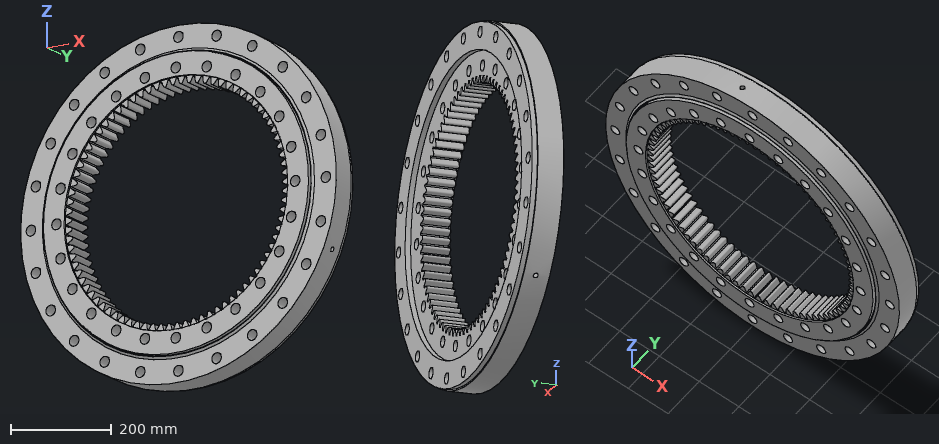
import cadquery as cq
import math


OUTER_RADIUS = 370.0
OUTER_RING_HEIGHT = 66.5
BACK_STEP_RADIUS = 367.0
BACK_STEP_HEIGHT = 11.0

RACE_RADIUS = 311.0
FRONT_FACE = 76.0
RECESS_RADIUS = 262.0
RECESS_DEPTH = 4.5
INNER_RING_SETBACK = 12.0

TOOTH_COUNT = 83
TIP_RADIUS = 246.5
BLANK_ALLOWANCE = 7.5
ROOT_RADIUS = 260.0
SHOULDER_RADIUS = 249.0
SHOULDER_SPACE_SHARE = 0.62
ROOT_SPACE_SHARE = 0.16

SEAL_BASE_RADIUS = 319.0
SEAL_FRONT_RADIUS = 314.0
SEAL_BORE_RADIUS = 313.0
SEAL_HEIGHT = 4.0

BOLT_COUNT = 24
BOLT_DIAMETER = 22.0
OUTER_BOLT_CIRCLE_RADIUS = 345.5
INNER_BOLT_CIRCLE_RADIUS = 280.0

GREASE_COUNT = 3
GREASE_DIAMETER = 9.5
GREASE_SETBACK = 29.5
GREASE_START_ANGLE = 360 / BOLT_COUNT / 2


def revolved(points):
    """Turn (distance forward of the back face, radius) points around the Y axis."""
    outline = [(-forward, radius) for forward, radius in points]
    return cq.Workplane("YZ").polyline(outline).close().revolve(360, (0, 0), (1, 0))


def bolt_holes(circle_radius):
    """Through holes parallel to the axis, the first one on +Z."""
    return (
        cq.Workplane("XZ")
        .polarArray(circle_radius, 90, 360, BOLT_COUNT)
        .circle(BOLT_DIAMETER / 2)
        .extrude(FRONT_FACE)
    )


def make_outer_ring():
    ring = revolved(
        [
            (0, RACE_RADIUS),
            (0, BACK_STEP_RADIUS),
            (BACK_STEP_HEIGHT, BACK_STEP_RADIUS),
            (BACK_STEP_HEIGHT, OUTER_RADIUS),
            (OUTER_RING_HEIGHT, OUTER_RADIUS),
            (OUTER_RING_HEIGHT, RACE_RADIUS),
        ]
    )
    ring = ring.cut(bolt_holes(OUTER_BOLT_CIRCLE_RADIUS))

    grease_hole = (
        cq.Workplane("XY", origin=(0, GREASE_SETBACK - OUTER_RING_HEIGHT, 0))
        .circle(GREASE_DIAMETER / 2)
        .extrude(OUTER_RADIUS)
    )
    for index in range(GREASE_COUNT):
        angle = GREASE_START_ANGLE + index * 360 / GREASE_COUNT
        ring = ring.cut(grease_hole.rotate((0, 0, 0), (0, 1, 0), -angle))
    return ring


def gear_bore():
    """The space inside the round-tipped teeth, with one tooth space centred on +Z."""

    def point(radius, pitches):
        angle = 2 * math.pi * pitches / TOOTH_COUNT
        return (radius * math.sin(angle), radius * math.cos(angle))

    shoulder_half = SHOULDER_SPACE_SHARE / 2
    root_half = ROOT_SPACE_SHARE / 2
    outline = cq.Workplane("XZ").moveTo(*point(SHOULDER_RADIUS, -shoulder_half))
    for space in range(TOOTH_COUNT):
        outline = (
            outline.lineTo(*point(ROOT_RADIUS, space - root_half))
            .lineTo(*point(ROOT_RADIUS, space + root_half))
            .lineTo(*point(SHOULDER_RADIUS, space + shoulder_half))
            .threePointArc(point(TIP_RADIUS, space + 0.5), point(SHOULDER_RADIUS, space + 1 - shoulder_half))
        )
    return outline.close().extrude(FRONT_FACE)


def make_inner_ring():
    tooth_front = FRONT_FACE - RECESS_DEPTH
    blank_bore = TIP_RADIUS - BLANK_ALLOWANCE
    ring = revolved(
        [
            (INNER_RING_SETBACK, blank_bore),
            (INNER_RING_SETBACK, RACE_RADIUS),
            (FRONT_FACE, RACE_RADIUS),
            (FRONT_FACE, RECESS_RADIUS),
            (tooth_front, RECESS_RADIUS),
            (tooth_front, blank_bore),
        ]
    )
    return ring.cut(gear_bore()).cut(bolt_holes(INNER_BOLT_CIRCLE_RADIUS))


def make_seal():
    seal_front = OUTER_RING_HEIGHT + SEAL_HEIGHT
    return revolved(
        [
            (OUTER_RING_HEIGHT, SEAL_BORE_RADIUS),
            (OUTER_RING_HEIGHT, SEAL_BASE_RADIUS),
            (seal_front, SEAL_FRONT_RADIUS),
            (seal_front, SEAL_BORE_RADIUS),
        ]
    )


outer_ring = make_outer_ring()
inner_ring = make_inner_ring()
seal = make_seal()

result = cq.Compound.makeCompound([outer_ring.val(), inner_ring.val(), seal.val()])